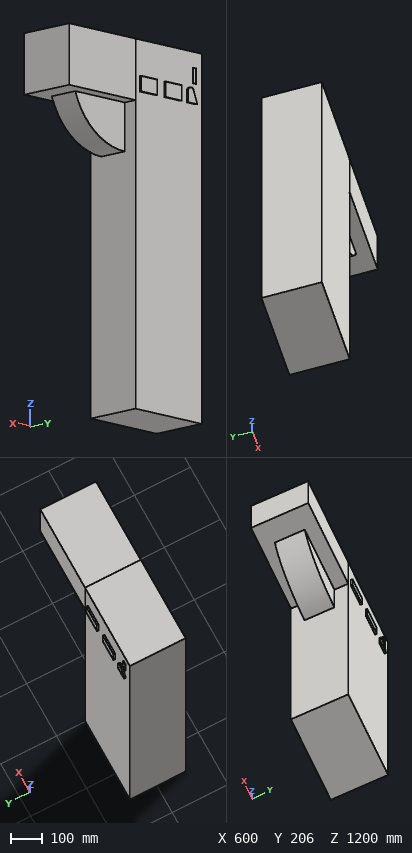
import cadquery as cq
import math

column_width = 300.0
column_height = 1200.0
arm_length = 300.0
arm_height = 600.0 / 3
depth = 600.0 / 3
total_depth = 206.0
front_panel_thickness = 0.4

quadrant_radius = 236.0
quadrant_centre_drop = 122.0
quadrant_inset = 48.0

raised_thickness = total_depth - depth - front_panel_thickness
raised_height = 50.0
raised_top = 1081.0
tab_width = 72.0
tab_left_edges = (98.0, 209.0)
knob_left = 28.0
knob_diameter = 25.0
knob_right = 68.0
strip_thickness = 2.0
strip_top = 1147.0
strip_width = 15.0


def block(x, y, z, width, thickness, height):
    """Box positioned by its lowest X, Y and Z corner."""
    return cq.Workplane("XY").box(width, thickness, height, centered=False).translate((x, y, z))


def make_quadrant():
    """Part of a round disc that lies below the arm and beside the column."""
    centre_z = column_height - quadrant_centre_drop
    arm_underside = column_height - arm_height
    drop = centre_z - arm_underside
    start_x = column_width + math.sqrt(quadrant_radius**2 - drop**2)
    middle_angle = (math.asin(drop / quadrant_radius) + math.pi / 2) / 2
    middle = (
        column_width + quadrant_radius * math.cos(middle_angle),
        centre_z - quadrant_radius * math.sin(middle_angle),
    )
    return (
        cq.Workplane("XZ", origin=(0, quadrant_inset, 0))
        .moveTo(column_width, arm_underside)
        .lineTo(start_x, arm_underside)
        .threePointArc(middle, (column_width, centre_z - quadrant_radius))
        .close()
        .extrude(-(depth - 2 * quadrant_inset))
    )


def make_knob():
    """Knob with a round top, an upright right side and a left side sloping along the tangent."""
    radius = knob_diameter / 2
    bottom = raised_top - raised_height
    centre_x = knob_right - radius
    centre_z = raised_top - radius
    to_corner_x = centre_x - knob_left
    to_corner_z = centre_z - bottom
    tangent_angle = (
        math.pi
        + math.atan2(to_corner_z, to_corner_x)
        - math.acos(radius / math.hypot(to_corner_x, to_corner_z))
    )
    tangent_point = (
        centre_x + radius * math.cos(tangent_angle),
        centre_z + radius * math.sin(tangent_angle),
    )
    return (
        cq.Workplane("XZ", origin=(0, depth, 0))
        .moveTo(knob_left, bottom)
        .lineTo(knob_right, bottom)
        .lineTo(knob_right, centre_z)
        .threePointArc((centre_x, raised_top), tangent_point)
        .close()
        .extrude(-raised_thickness)
    )


def make_tab(left):
    """Raised rectangular tab on the back of the column."""
    return block(left, depth, raised_top - raised_height, tab_width, raised_thickness, raised_height)


column = block(0, 0, 0, column_width, depth, column_height)
front_panel = block(0, -front_panel_thickness, 0, column_width, front_panel_thickness, column_height)
arm = block(column_width, 0, column_height - arm_height, arm_length, depth, arm_height)
quadrant = make_quadrant()
knob = make_knob()
tabs = [make_tab(left) for left in tab_left_edges]
strip = block(
    knob_left, depth, strip_top - raised_height, strip_width, strip_thickness, raised_height
)

bodies = [column, front_panel, arm, quadrant, knob, *tabs, strip]
result = cq.Compound.makeCompound([body.val() for body in bodies])